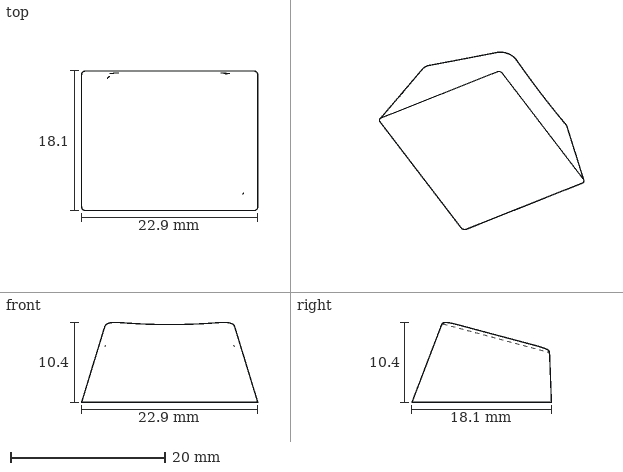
import cadquery as cq
import math

base_width = 22.85
base_depth = 18.1
base_corner_radius = 0.5

top_width = 16.69
top_length = 14.26
top_corner_radius = 2.03
top_tilt = 15.0
top_center_y = 1.9
top_center_z = 8.78

dish_radius = 75.44
rim_radius = 0.45

top_plane = cq.Plane(origin=(0, top_center_y, top_center_z)).rotated((-top_tilt, 0, 0))


def rounded_rectangle(width, length, radius):
    """Rectangle with round corners, centred on its plane."""
    return cq.Sketch().rect(width, length).vertices().fillet(radius)


def make_body():
    """Straight-sided loft from the flat base to the tilted top."""
    base_sketch = rounded_rectangle(base_width, base_depth, base_corner_radius)
    top_sketch = rounded_rectangle(top_width, top_length, top_corner_radius)
    top_sketch = top_sketch.moved(top_plane.location)
    return cq.Workplane("XY").placeSketch(base_sketch, top_sketch).loft(ruled=True)


def make_dish():
    """Cylinder along the slope that meets the top plane at its left and right edges."""
    axis_height = math.sqrt(dish_radius**2 - (top_width / 2) ** 2)
    return (
        cq.Workplane(top_plane)
        .transformed(rotate=(90, 0, 0))
        .center(0, axis_height)
        .circle(dish_radius)
        .extrude(top_length, both=True)
    )


body = make_body().cut(make_dish())
dish_face = body.faces(cq.selectors.NearestToPointSelector((0, top_center_y, top_center_z)))
result = dish_face.edges().fillet(rim_radius)